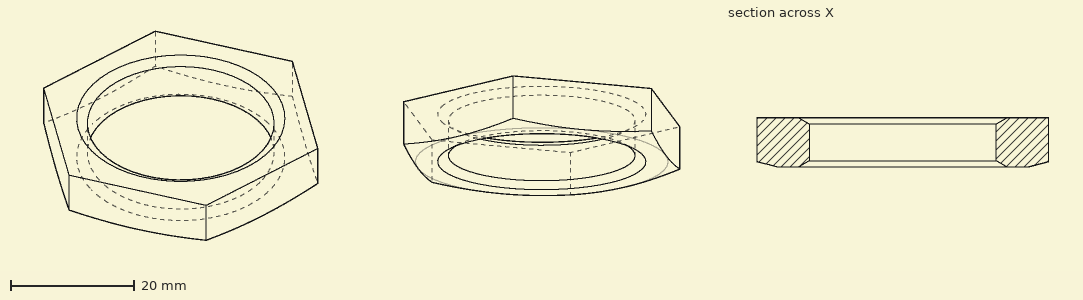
import cadquery as cq
import math

across_flats = 41.0
height = 8.0
bore_diameter = 30.29
countersink_diameter = 33.8
countersink_half_angle = 60.0
chamfer_angle = 15.0

across_corners = across_flats / math.cos(math.radians(30))
bore_radius = bore_diameter / 2
countersink_radius = countersink_diameter / 2
countersink_depth = (countersink_radius - bore_radius) / math.tan(math.radians(countersink_half_angle))


def hexagonal_blank():
    """Hexagonal prism with flats facing +X and -X and corners on the Y axis."""
    prism = cq.Workplane("XY").polygon(6, across_corners).extrude(height)
    return prism.rotate((0, 0, 0), (0, 0, 1), 90)


def corner_chamfer_envelope():
    """Turned body whose conical underside trims the bottom corners, starting tangent to the flats."""
    base_radius = across_flats / 2
    outer_radius = across_corners
    cone_rise = (outer_radius - base_radius) * math.tan(math.radians(chamfer_angle))
    profile = (
        cq.Workplane("XZ")
        .moveTo(0, 0)
        .lineTo(base_radius, 0)
        .lineTo(outer_radius, cone_rise)
        .lineTo(outer_radius, height)
        .lineTo(0, height)
        .close()
    )
    return profile.revolve(360, (0, 0, 0), (0, 1, 0))


def countersunk_bore():
    """Through bore with a conical countersink at both ends, as a cutting body."""
    profile = (
        cq.Workplane("XZ")
        .moveTo(0, 0)
        .lineTo(countersink_radius, 0)
        .lineTo(bore_radius, countersink_depth)
        .lineTo(bore_radius, height - countersink_depth)
        .lineTo(countersink_radius, height)
        .lineTo(0, height)
        .close()
    )
    return profile.revolve(360, (0, 0, 0), (0, 1, 0))


result = hexagonal_blank().intersect(corner_chamfer_envelope()).cut(countersunk_bore())